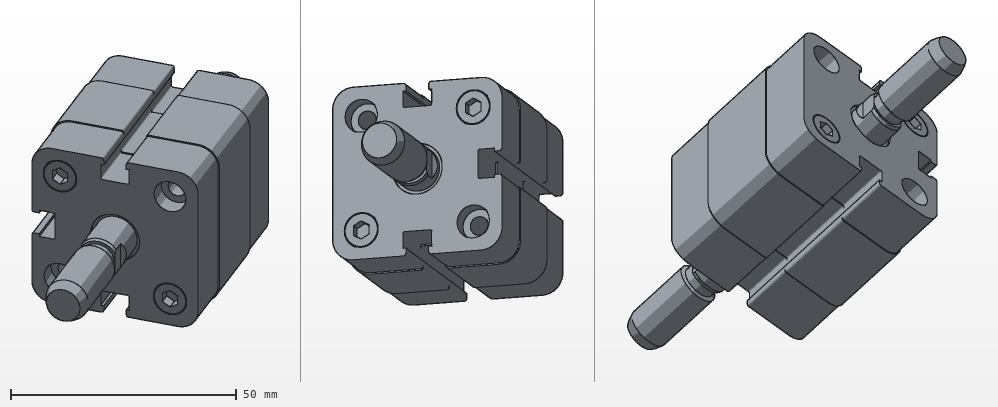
import cadquery as cq


overall_length = 104.5
rod_tip_y = overall_length / 2
front_face_y = -19.6
rear_face_y = 24.8
body_length = rear_face_y - front_face_y
cap_length = 12.6

barrel_width = 40.1
cap_width = 39.5
corner_center = 14.9

slot_opening = 5.3
slot_inner_width = 6.7
lip_inner_level = 18.0
barrel_slot_floor = 14.5
cap_slot_floor = 14.2
lip_round = 0.6
floor_round = 0.4
slot_angles = (0, 90, 180)

hole_offset = 13.1
mount_hole_d = 4.2
mount_counterbore_d = 7.5
mount_counterbore_depth = 4.4
screw_recess_d = 7.9
screw_head_d = 7.5
screw_head_height = 4.2
hex_across_corners = 4.2
hex_depth = 2.7
rod_recess_d = 11.6
rod_recess_depth = 0.6

rod_d = 10.0
neck_d = 8.0
tip_d = 7.9
tip_round_length = 2.6
tip_bulge = 0.13
thread_start = 33.1
thread_runout = 0.3
collar_end = 30.4
collar_bevel_length = 0.8
collar_bevel_depth = 0.3
flat_width = 8.0
flat_start = 26.8


def block(width, y_start, y_end):
    """Square block with rounded corners between two Y positions."""
    return (
        cq.Workplane("XZ", origin=(0, y_start, 0))
        .rect(width, width)
        .extrude(y_start - y_end)
        .edges("|Y")
        .fillet(width / 2 - corner_center)
    )


def slot_cutter(width, floor, y_start, y_end):
    """T-slot open at the top side, with a rounded mouth and rounded floor corners."""
    surface = width / 2
    half_inner = slot_inner_width / 2
    half_opening = slot_opening / 2
    half_slot = (
        cq.Workplane("XZ", origin=(0, y_start, 0))
        .moveTo(0, floor)
        .lineTo(half_inner - floor_round, floor)
        .tangentArcPoint((floor_round, floor_round))
        .lineTo(half_inner, lip_inner_level)
        .lineTo(half_opening, lip_inner_level)
        .lineTo(half_opening, surface - lip_round)
        .tangentArcPoint((lip_round, lip_round))
        .lineTo(0, surface)
        .close()
        .extrude(y_start - y_end)
    )
    return half_slot.union(half_slot.mirror("YZ"))


def slotted_block(width, floor, y_start, y_end):
    """Body section with a T-slot on the top, left and bottom sides."""
    section = block(width, y_start, y_end)
    cutter = slot_cutter(width, floor, y_start, y_end)
    for angle in slot_angles:
        section = section.cut(cutter.rotate((0, 0, 0), (0, 1, 0), -angle))
    return section


def end_cutter():
    """Everything cut into the front end face."""
    face = cq.Workplane("XZ", origin=(0, front_face_y, 0))
    mount_points = [(-hole_offset, -hole_offset), (hole_offset, hole_offset)]
    screw_points = [(-hole_offset, hole_offset), (hole_offset, -hole_offset)]
    mounts = face.pushPoints(mount_points)
    screws = face.pushPoints(screw_points)

    rod_recess = face.circle(rod_recess_d / 2).circle(rod_d / 2).extrude(-rod_recess_depth)
    mount_holes = mounts.circle(mount_hole_d / 2).extrude(-body_length)
    counterbores = mounts.circle(mount_counterbore_d / 2).extrude(-mount_counterbore_depth)
    head_gaps = screws.circle(screw_recess_d / 2).circle(screw_head_d / 2).extrude(-screw_head_height)
    hexagon = cq.Sketch().regularPolygon(hex_across_corners / 2, 6)
    sockets = screws.placeSketch(hexagon).extrude(-hex_depth)
    return rod_recess.union(mount_holes).union(counterbores).union(head_gaps).union(sockets)


def half_rod():
    """Rod from the middle of the part to its rear tip, with wrench flats."""
    rod_r = rod_d / 2
    neck_r = neck_d / 2
    profile = [
        (0, 0),
        (rod_r, 0),
        (rod_r, collar_end - collar_bevel_length),
        (rod_r - collar_bevel_depth, collar_end),
        (neck_r, collar_end),
        (neck_r, thread_start - thread_runout),
        (rod_r, thread_start),
        (rod_r, rod_tip_y - tip_round_length),
    ]
    rod = (
        cq.Workplane("XY")
        .polyline(profile)
        .sagittaArc((tip_d / 2, rod_tip_y), -tip_bulge)
        .lineTo(0, rod_tip_y)
        .close()
        .revolve(360, (0, 0, 0), (0, 1, 0))
    )
    flat_x = flat_width / 2
    flat_depth = rod_r - flat_x
    flat = (
        cq.Workplane("XY", origin=(0, 0, -rod_r))
        .moveTo(flat_x, collar_end)
        .lineTo(flat_x, flat_start)
        .lineTo(rod_r, flat_start - flat_depth)
        .lineTo(rod_r, collar_end)
        .close()
        .extrude(rod_d)
    )
    return rod.cut(flat).cut(flat.mirror("YZ"))


front_joint_y = front_face_y + cap_length
rear_joint_y = rear_face_y - cap_length

body = slotted_block(barrel_width, barrel_slot_floor, front_joint_y, rear_joint_y)
body = body.union(slotted_block(cap_width, cap_slot_floor, front_face_y, front_joint_y))
body = body.union(slotted_block(cap_width, cap_slot_floor, rear_joint_y, rear_face_y))

rear_rod = half_rod()
body = body.union(rear_rod).union(rear_rod.mirror("XZ"))

front_cutter = end_cutter()
rear_cutter = front_cutter.mirror("XZ", (0, (front_face_y + rear_face_y) / 2, 0))
result = body.cut(front_cutter).cut(rear_cutter)